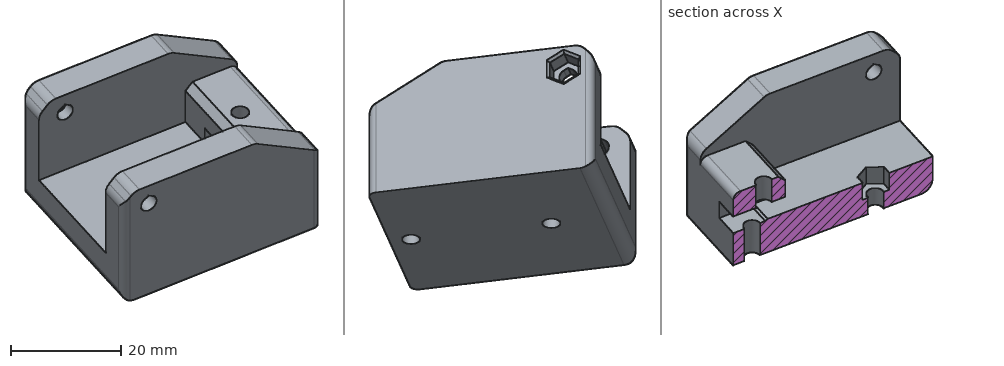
import cadquery as cq
import math

width = 35.25
length = 42.0
height = 26.0
front = -length / 2
back = length / 2

edge_radius = 2.5
corner_radius = 1.5
nose_chamfer = 2.5
ramp_angle = 30.0
ramp_length = 14.0
ramp_start_height = height - ramp_length * math.tan(math.radians(ramp_angle))

wall = 5.95
channel_width = width - 2 * wall
floor_height = 8.0
bridge_height = 16.95
bridge_depth = 11.0
bridge_front = back - bridge_depth
bridge_edge = 1.5

window_width = 9.83
window_height = 3.53
step_start = 7.22
step_end = 6.7
step_depth = (step_start - step_end) * math.tan(math.radians(ramp_angle))

bolt_diameter = 3.28
bridge_bolt_y = back - 6.45
passage_bolt_y = back - 4.0
floor_bolt_x = 0.25
floor_bolt_y = front + 11.95
floor_nut_flats = 5.6
floor_nut_depth = 4.0
side_bolt_y = front + 5.55
side_bolt_z = 21.75
side_bolt_roof_angle = 30.0
side_nut_flats = 5.3
side_nut_mouth_flats = 6.3
side_nut_lead_in = 0.5
side_nut_depth = 3.6
hexagon_half_angle = math.radians(30)


def corner_diameter(flats):
    """Diameter across the corners of a hexagon with the given width across flats."""
    return flats / math.cos(hexagon_half_angle)


def make_block():
    """Side profile across the full width, trimmed to a plan with rounded corners."""
    profile = (
        cq.Workplane("YZ")
        .moveTo(front, 0)
        .lineTo(back, 0)
        .lineTo(back, ramp_start_height)
        .lineTo(back - ramp_length, height)
        .lineTo(front + nose_chamfer, height)
        .lineTo(front, height - nose_chamfer)
        .close()
        .extrude(width / 2, both=True)
    )
    profile = profile.edges("|X except (>Y and <Z)").fillet(edge_radius)
    plan = cq.Workplane("XY").rect(width, length).extrude(height).edges("|Z").fillet(corner_radius)
    return profile.intersect(plan)


def make_channel():
    """Space between the side walls, in front of the bridge and above it."""
    return (
        cq.Workplane("YZ")
        .moveTo(front, floor_height)
        .lineTo(bridge_front, floor_height)
        .lineTo(bridge_front, bridge_height - bridge_edge)
        .lineTo(bridge_front + bridge_edge, bridge_height)
        .lineTo(back - bridge_edge, bridge_height)
        .radiusArc((back, bridge_height - bridge_edge), bridge_edge)
        .lineTo(back, height)
        .lineTo(front, height)
        .close()
        .extrude(channel_width / 2, both=True)
    )


def make_passage():
    """Rectangular passage under the bridge with a short ramp down in its floor."""
    return (
        cq.Workplane("YZ")
        .moveTo(bridge_front, floor_height)
        .lineTo(back - step_start, floor_height)
        .lineTo(back - step_end, floor_height - step_depth)
        .lineTo(back, floor_height - step_depth)
        .lineTo(back, floor_height + window_height)
        .lineTo(bridge_front, floor_height + window_height)
        .close()
        .extrude(window_width / 2, both=True)
    )


def vertical_hole(x, y, bottom, top):
    """Round bolt hole along Z."""
    return (
        cq.Workplane("XY", origin=(x, y, bottom))
        .circle(bolt_diameter / 2)
        .extrude(top - bottom)
    )


def make_floor_nut():
    """Hexagonal nut pocket sunk into the channel floor."""
    return (
        cq.Workplane("XY", origin=(floor_bolt_x, floor_bolt_y, floor_height))
        .polygon(6, corner_diameter(floor_nut_flats))
        .extrude(-floor_nut_depth)
    )


def make_side_bolt():
    """Bolt hole through both walls, with a peaked roof tangent to its round."""
    radius = bolt_diameter / 2
    roof_angle = math.radians(side_bolt_roof_angle)
    tangent_y = radius * math.sin(roof_angle)
    tangent_z = radius * math.cos(roof_angle)
    peak_z = radius / math.cos(roof_angle)
    return (
        cq.Workplane("YZ", origin=(0, side_bolt_y, side_bolt_z))
        .moveTo(-tangent_y, tangent_z)
        .threePointArc((0, -radius), (tangent_y, tangent_z))
        .lineTo(0, peak_z)
        .close()
        .extrude(width / 2, both=True)
    )


def make_side_nut():
    """Hexagonal nut pocket in the left wall, points up, with a tapered mouth."""
    outer_face = cq.Workplane("YZ", origin=(-width / 2, side_bolt_y, side_bolt_z))
    turned = outer_face.transformed(rotate=(0, 0, math.degrees(hexagon_half_angle)))
    pocket = turned.polygon(6, corner_diameter(side_nut_flats)).extrude(side_nut_depth)
    mouth = (
        turned.polygon(6, corner_diameter(side_nut_mouth_flats))
        .workplane(offset=side_nut_lead_in)
        .polygon(6, corner_diameter(side_nut_flats))
        .loft(ruled=True)
    )
    return pocket.union(mouth)


result = (
    make_block()
    .cut(make_channel())
    .cut(make_passage())
    .cut(vertical_hole(0, bridge_bolt_y, floor_height, bridge_height))
    .cut(vertical_hole(0, passage_bolt_y, 0, floor_height))
    .cut(vertical_hole(floor_bolt_x, floor_bolt_y, 0, floor_height))
    .cut(make_floor_nut())
    .cut(make_side_bolt())
    .cut(make_side_nut())
)